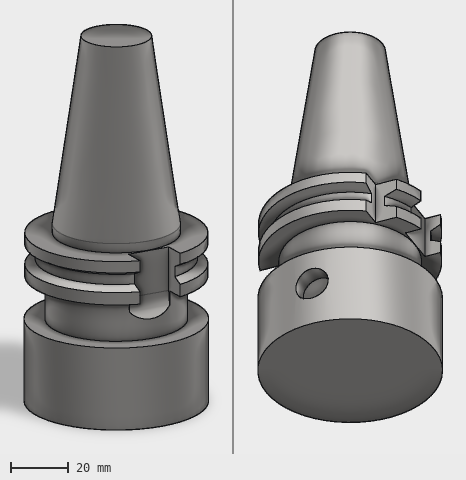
import cadquery as cq

total_height = 133.4
taper_tip_diameter = 24.5
taper_base_diameter = 44.4
taper_base_height = 64.8

collar_diameter = 64.0
collar_height = 30.0
neck_diameter = 49.5

flange_diameter = 63.5
flange_bottom = 45.6
flange_top = 61.5
groove_diameter = 56.3
groove_middle = 53.8
groove_mouth_width = 7.2
groove_floor_width = 3.7

slot_width = 16.0
left_slot_floor = 24.8
right_slot_floor = 22.7
slot_cutter_diameter = 36.0

notch_corner_offset = 18.1
spanner_hole_diameter = 12.3
spanner_hole_height = 16.8
spanner_hole_depth = 6.7

flange_radius = flange_diameter / 2
flange_height = flange_top - flange_bottom


def make_body():
    """Solid of revolution: collar, neck, grooved flange and taper."""
    half_profile = [
        (0, 0),
        (collar_diameter / 2, 0),
        (collar_diameter / 2, collar_height),
        (neck_diameter / 2, collar_height),
        (neck_diameter / 2, flange_bottom),
        (flange_radius, flange_bottom),
        (flange_radius, groove_middle - groove_mouth_width / 2),
        (groove_diameter / 2, groove_middle - groove_floor_width / 2),
        (groove_diameter / 2, groove_middle + groove_floor_width / 2),
        (flange_radius, groove_middle + groove_mouth_width / 2),
        (flange_radius, flange_top),
        (taper_base_diameter / 2, flange_top),
        (taper_base_diameter / 2, taper_base_height),
        (taper_tip_diameter / 2, total_height),
        (0, total_height),
    ]
    return cq.Workplane("XZ").polyline(half_profile).close().revolve(360, (0, 0), (0, 1))


def make_slot(floor_distance):
    """Full-height block opening the flange on +X, with a flat floor."""
    return (
        cq.Workplane("XY")
        .workplane(offset=flange_bottom)
        .center(floor_distance + flange_radius / 2, 0)
        .rect(flange_radius, slot_width)
        .extrude(flange_height)
    )


def make_slot_runout():
    """Round cutter run-out below the +X slot, tangent to the slot floor."""
    return (
        cq.Workplane("XZ")
        .center(right_slot_floor + slot_cutter_diameter / 2, flange_bottom)
        .circle(slot_cutter_diameter / 2)
        .extrude(slot_width / 2, both=True)
        .intersect(
            cq.Workplane("XY")
            .workplane(offset=collar_height)
            .center(right_slot_floor + slot_cutter_diameter / 2, 0)
            .rect(slot_cutter_diameter, slot_width)
            .extrude(flange_bottom - collar_height)
        )
    )


def make_notch():
    """Square-cornered notch through the flange in the -X, +Y quadrant."""
    return (
        cq.Workplane("XY")
        .workplane(offset=flange_bottom)
        .center(-notch_corner_offset - flange_radius / 2, notch_corner_offset + flange_radius / 2)
        .rect(flange_radius, flange_radius)
        .extrude(flange_height)
    )


def make_spanner_hole():
    """Blind radial hole in the +Y side of the collar."""
    return (
        cq.Workplane("XZ", origin=(0, collar_diameter / 2, spanner_hole_height))
        .circle(spanner_hole_diameter / 2)
        .extrude(spanner_hole_depth)
    )


left_slot = make_slot(left_slot_floor).rotate((0, 0, 0), (0, 0, 1), 180)
result = (
    make_body()
    .cut(left_slot)
    .cut(make_slot(right_slot_floor))
    .cut(make_slot_runout())
    .cut(make_notch())
    .cut(make_spanner_hole())
)